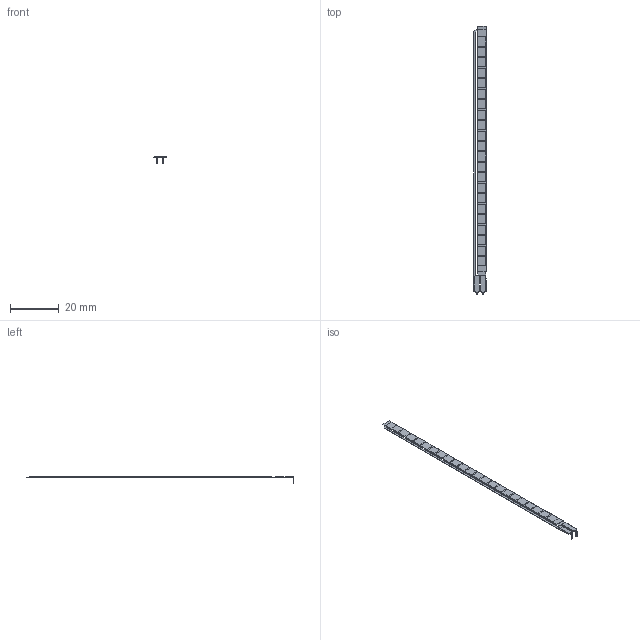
import cadquery as cq
import math

conductor_thickness = 0.15
carrier_thickness = 0.18
cover_thickness = 0.05
chip_thickness = 0.03
terminal_thickness = 0.20

overall_length = 109.70
overall_width = 5.17
overall_height = 2.77
back_y = overall_length / 2
front_y = -overall_length / 2
outer_x = overall_width / 2

strip_left = -1.10
strip_right = 2.55
edge_inset = 0.12
inner_left = strip_left + edge_inset
inner_right = strip_right - edge_inset
cover_back = 53.37
cover_front = -45.77
tab_front = -47.10

chip_count = 22
chip_pitch = 4.28
chip_length = 3.73
first_chip_back = 50.37

trace_width = 0.78
trace_inner_x = -outer_x + trace_width
jog_angle = 45
jog_outer_y = 52.60
jog_inner_y = jog_outer_y - trace_width * math.tan(math.radians(jog_angle / 2))

pad_back = -48.70
pad_front = -53.80
pad_inner_x = 0.60
neck_left = 1.25
neck_right = neck_left + trace_width

lead_spacing = 2.54
lead_offset = 0.03
lead_width = 0.62
shoulder_length = 0.26
shoulder_width = 1.30
plate_width = 1.87
plate_back = -47.35
plate_chamfer = 0.45
bend_radius = 0.70
plate_front = front_y + bend_radius
terminal_bottom = conductor_thickness
terminal_top = terminal_bottom + terminal_thickness
lead_tip_z = terminal_top - overall_height


def box_between(x_min, x_max, y_min, y_max, z_min, height):
    """Axis-aligned block given by its plan limits, base level and height."""
    size = (x_max - x_min, y_max - y_min, height)
    return cq.Workplane("XY").box(*size, centered=False).translate((x_min, y_min, z_min))


def flat_layer(x_min, x_max, y_min, y_max):
    """Rectangle of the conductor layer."""
    return box_between(x_min, x_max, y_min, y_max, 0, conductor_thickness)


def return_trace():
    """Side conductor from the left pad to the back end of the strip."""
    jog_slope = math.tan(math.radians(jog_angle))
    outer_rise = (strip_left + outer_x) * jog_slope
    inner_rise = (strip_left - trace_inner_x) * jog_slope
    outline = [
        (-outer_x, pad_front),
        (-outer_x, jog_outer_y),
        (strip_left, jog_outer_y + outer_rise),
        (strip_left, jog_inner_y + inner_rise),
        (trace_inner_x, jog_inner_y),
        (trace_inner_x, pad_front),
    ]
    return cq.Workplane("XY").polyline(outline).close().extrude(conductor_thickness)


def conductor():
    """Conductor layer: neck, return trace and both pads."""
    layer = flat_layer(neck_left, neck_right, pad_front, tab_front)
    layer = layer.union(flat_layer(pad_inner_x, outer_x, pad_front, pad_back))
    layer = layer.union(flat_layer(-outer_x, -pad_inner_x, pad_front, pad_back))
    return layer.union(return_trace())


def carrier():
    """Strip body with its narrower front tab."""
    body = box_between(strip_left, strip_right, cover_front, back_y, 0, carrier_thickness)
    tab = box_between(inner_left, inner_right, tab_front, cover_front, 0, carrier_thickness)
    return body.union(tab)


def cover():
    """Cover layer over the strip between its bare ends."""
    return box_between(
        strip_left, strip_right, cover_front, cover_back, carrier_thickness, cover_thickness
    )


def chips():
    """Evenly spaced raised chips on the cover layer."""
    base_z = carrier_thickness + cover_thickness
    row = cq.Workplane("XY")
    for index in range(chip_count):
        chip_back = first_chip_back - index * chip_pitch
        chip = box_between(
            inner_left, inner_right, chip_back - chip_length, chip_back, base_z, chip_thickness
        )
        row = row.add(chip)
    return row.combine()


def bent_strip(width):
    """Constant-width strip that leaves the plate, bends down and ends at the lead tip."""
    inner_radius = bend_radius - terminal_thickness
    inner_y = front_y + terminal_thickness
    root_y = plate_front + plate_chamfer
    bend_z = terminal_top - bend_radius
    profile = (
        cq.Workplane("YZ")
        .moveTo(root_y, terminal_top)
        .lineTo(plate_front, terminal_top)
        .radiusArc((front_y, bend_z), -bend_radius)
        .lineTo(front_y, lead_tip_z)
        .lineTo(inner_y, lead_tip_z)
        .lineTo(inner_y, bend_z)
        .radiusArc((plate_front, terminal_bottom), inner_radius)
        .lineTo(root_y, terminal_bottom)
        .close()
    )
    return profile.extrude(width / 2, both=True)


def bent_lead(center_x):
    """Narrow lead with wide shoulders where the bend starts."""
    shoulder_zone = box_between(
        -shoulder_width / 2,
        shoulder_width / 2,
        plate_front - shoulder_length,
        plate_back,
        lead_tip_z,
        overall_height,
    )
    shoulders = bent_strip(shoulder_width).intersect(shoulder_zone)
    return bent_strip(lead_width).union(shoulders).translate((center_x, 0, 0))


def terminal(center_x):
    """Chamfered flat plate with its bent lead."""
    half_width = plate_width / 2
    plate = box_between(
        center_x - half_width,
        center_x + half_width,
        plate_front,
        plate_back,
        terminal_bottom,
        terminal_thickness,
    )
    plate = plate.edges("|Z").chamfer(plate_chamfer)
    return plate.union(bent_lead(center_x))


result = conductor().union(carrier()).union(cover()).union(chips())
for side in (-1, 1):
    result = result.union(terminal(lead_offset + side * lead_spacing / 2))